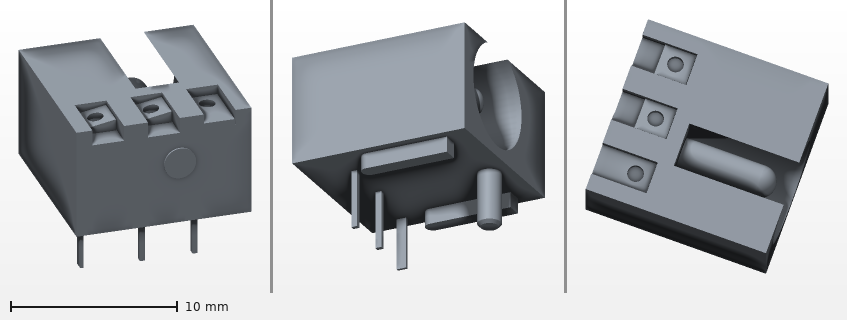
import cadquery as cq
import math

BODY_LENGTH = 11.5
BODY_WIDTH = 11.0
BODY_HEIGHT = 7.0

AXIS_Y = 1.0
AXIS_DROP = 3.0
BORE_DIAMETER = 6.6
BORE_DEPTH = 7.01
CENTRE_PIN_DIAMETER = 2.0
CENTRE_PIN_SETBACK = 1.0
OVERALL_LENGTH = 11.6

SPRING_LENGTH = 4.0
SPRING_HEIGHT = 5.05
SPRING_INNER_OFFSET = 1.45
SPRING_OUTER_OFFSET = 2.9

SLOT_START_X = 7.98
SLOT_WIDTH = 2.0
SLOT_PITCH = 3.5
SLOT_DEPTH = 1.0
PLATE_GAP = 0.05
FLAT_PLATE_DROP = 0.6
TILTED_PLATE_END_X = 10.03
TILTED_PLATE_DROP = 0.25
PLATE_TILT = 10
HOLE_DIAMETER = 1.0
HOLE_X = 9.04
TILTED_PLATE_HOLE_SHIFT = -0.03
TILTED_PLATE_HOLE_FLOOR = 0.21

POST_DIAMETER = 1.5
POST_LENGTH = 3.5
POST_CHAMFER = 0.2
POST_X = 1.5
POST_Y = -1.0

FOOT_START_X = 1.5
FOOT_LENGTH = 5.89
FOOT_WIDTH = 1.0
FOOT_HEIGHT = 1.0
FOOT_OFFSET_Y = 4.37

PIN_LENGTH = 3.7
PIN_SIZE_X = 0.4
PIN_SIZE_Y = 0.3
PIN_X = 8.6
PIN_YS = (2.81, -0.5)
SWITCH_PIN_LENGTH = 3.31
SWITCH_PIN_SIZE_X = 0.64
SWITCH_PIN_SIZE_Y = 0.2
SWITCH_PIN_X = 9.02
SWITCH_PIN_Y = -4.48

AXIS_Z = BODY_HEIGHT - AXIS_DROP
SLOT_FLOOR_Z = BODY_HEIGHT - SLOT_DEPTH


def box_from_left(length, width, height, x, y, z):
    """Box starting at x, centred on y, with its bottom at z."""
    block = cq.Workplane("XY").box(length, width, height, centered=(False, True, False))
    return block.translate((x, y, z))


def rod_along_x(diameter, start_x, end_x):
    """Cylinder on the bore axis."""
    plane = cq.Workplane("YZ", origin=(start_x, AXIS_Y, AXIS_Z))
    return plane.circle(diameter / 2).extrude(end_x - start_x)


def centre_pin():
    """Round-nosed pin that runs through the back wall and shows as a rivet at +X."""
    radius = CENTRE_PIN_DIAMETER / 2
    nose_x = CENTRE_PIN_SETBACK + radius
    nose = cq.Workplane("XY").sphere(radius).translate((nose_x, AXIS_Y, AXIS_Z))
    return rod_along_x(CENTRE_PIN_DIAMETER, nose_x, OVERALL_LENGTH).union(nose)


def spring_contact():
    """Wedge whose sloping face leans in towards the pin at the back wall."""
    inner_y = AXIS_Y - SPRING_INNER_OFFSET
    outer_y = AXIS_Y - SPRING_OUTER_OFFSET
    outline = [
        (BORE_DEPTH - SPRING_LENGTH, outer_y),
        (BORE_DEPTH, outer_y),
        (BORE_DEPTH, inner_y),
    ]
    bottom_z = AXIS_Z - SPRING_HEIGHT / 2
    return cq.Workplane("XY", origin=(0, 0, bottom_z)).polyline(outline).close().extrude(SPRING_HEIGHT)


def slot_cutter(y):
    """Slot open at the +X face."""
    length = BODY_LENGTH - SLOT_START_X
    return box_from_left(length, SLOT_WIDTH, SLOT_DEPTH, SLOT_START_X, y, SLOT_FLOOR_Z)


def contact_plate(y, end_x, high_edge_drop, tilt=0, hole_shift=0, hole_floor=0):
    """Plate standing on the slot floor, with a flat-bottomed hole square to its upper face."""
    low_y = y - SLOT_WIDTH / 2
    high_y = y + SLOT_WIDTH / 2 - PLATE_GAP
    start_x = SLOT_START_X + PLATE_GAP
    length = end_x - start_x
    slope = math.tan(math.radians(tilt))
    high_z = BODY_HEIGHT - high_edge_drop
    low_z = high_z - (high_y - low_y) * slope
    section = [(low_y, SLOT_FLOOR_Z), (high_y, SLOT_FLOOR_Z), (high_y, high_z), (low_y, low_z)]
    plate = cq.Workplane("YZ", origin=(start_x, 0, 0)).polyline(section).close().extrude(length)

    hole_y = y + hole_shift
    hole_top_z = high_z - (high_y - hole_y) * slope
    hole = (
        cq.Workplane("XY")
        .circle(HOLE_DIAMETER / 2)
        .extrude(SLOT_DEPTH, both=True)
        .rotate((0, 0, 0), (1, 0, 0), tilt)
        .translate((HOLE_X, hole_y, hole_top_z))
    )
    hole_floor_z = SLOT_FLOOR_Z + hole_floor
    above_floor = box_from_left(length, SLOT_WIDTH, SLOT_DEPTH, start_x, y, hole_floor_z)
    return plate.cut(hole.intersect(above_floor))


def post():
    """Round post with a chamfered tip."""
    return (
        cq.Workplane("XY", origin=(POST_X, POST_Y, -POST_LENGTH))
        .circle(POST_DIAMETER / 2)
        .extrude(POST_LENGTH)
        .faces("<Z")
        .chamfer(POST_CHAMFER)
    )


def foot(y):
    """Foot with a square -X end and a half-round +X end."""
    round_x = FOOT_START_X + FOOT_LENGTH - FOOT_WIDTH / 2
    bar = box_from_left(round_x - FOOT_START_X, FOOT_WIDTH, FOOT_HEIGHT, FOOT_START_X, y, -FOOT_HEIGHT)
    end = cq.Workplane("XY", origin=(round_x, y, -FOOT_HEIGHT)).circle(FOOT_WIDTH / 2).extrude(FOOT_HEIGHT)
    return bar.union(end)


def solder_pin(size_x, size_y, length, x, y):
    """Rectangular pin centred on (x, y), hanging from the bottom face."""
    return box_from_left(size_x, size_y, length, x - size_x / 2, y, -length)


body = box_from_left(BODY_LENGTH, BODY_WIDTH, BODY_HEIGHT, 0, 0, 0)
body = body.cut(rod_along_x(BORE_DIAMETER, 0, BORE_DEPTH))
body = body.union(spring_contact()).union(centre_pin())

for slot_y in (SLOT_PITCH, 0, -SLOT_PITCH):
    body = body.cut(slot_cutter(slot_y))
body = body.union(contact_plate(SLOT_PITCH, BODY_LENGTH, FLAT_PLATE_DROP))
for plate_y in (0, -SLOT_PITCH):
    tilted_plate = contact_plate(
        plate_y,
        TILTED_PLATE_END_X,
        TILTED_PLATE_DROP,
        PLATE_TILT,
        TILTED_PLATE_HOLE_SHIFT,
        TILTED_PLATE_HOLE_FLOOR,
    )
    body = body.union(tilted_plate)

body = body.union(post())
for foot_y in (FOOT_OFFSET_Y, -FOOT_OFFSET_Y):
    body = body.union(foot(foot_y))

for pin_y in PIN_YS:
    body = body.union(solder_pin(PIN_SIZE_X, PIN_SIZE_Y, PIN_LENGTH, PIN_X, pin_y))
body = body.union(
    solder_pin(SWITCH_PIN_SIZE_X, SWITCH_PIN_SIZE_Y, SWITCH_PIN_LENGTH, SWITCH_PIN_X, SWITCH_PIN_Y)
)

result = body